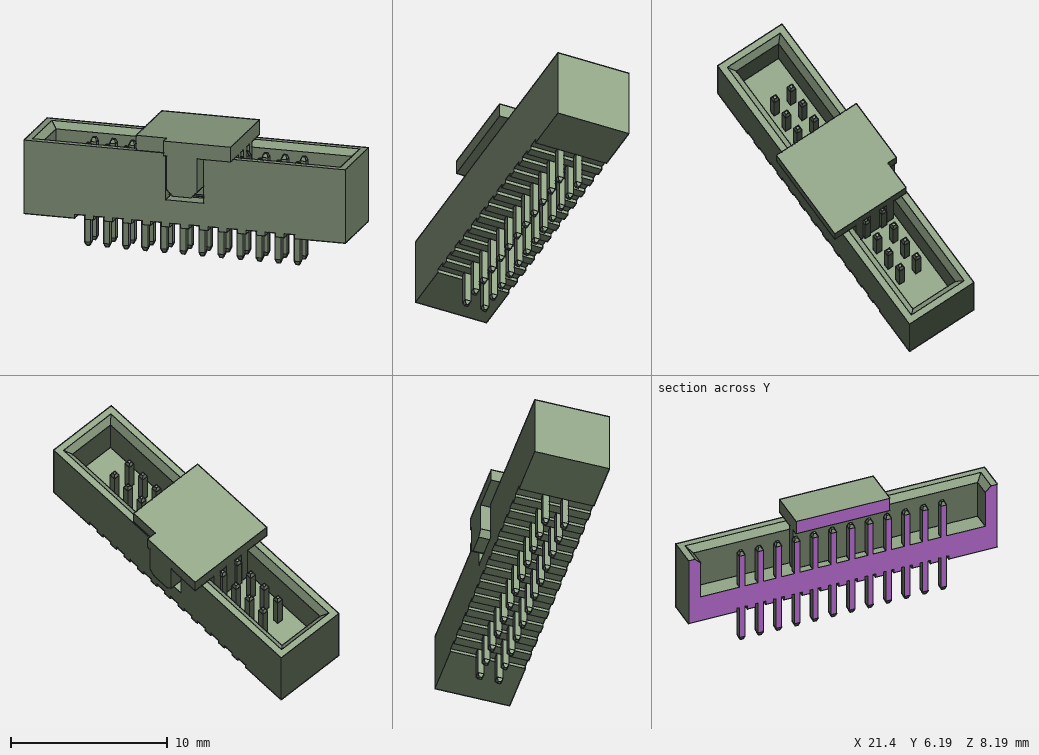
import cadquery as cq


body_length = 21.45
body_width = 5.0
body_height = 4.9
rim = 0.45
mouth_chamfer = 0.4
floor_z = 1.89
notch_width = 2.53
notch_floor_z = 1.8
groove_width = 0.7
groove_depth = 0.25

columns = 12
rows = 2
pin_span = 13.98
pin_pitch = pin_span / (columns - 1)
pin_size = 0.4
pin_tip_size = 0.2
pin_tip_height = 0.25
pin_top_z = 4.52
pin_bottom_z = -2.3

cap_length = 6.52
cap_thickness = 0.99
cap_back_y = 3.1
cap_front_y = -3.09
cap_step_x = -1.22
cap_step_y = -2.42
plug_width = 2.92
plug_chamfer_height = 0.13
plug_chamfer_depth = 0.06
slot_width = 0.55
key_width = 2.02
key_bottom_z = 2.27
key_chamfer = 0.39

column_xs = [pin_pitch * (i - (columns - 1) / 2) for i in range(columns)]
row_ys = [pin_pitch * (i - (rows - 1) / 2) for i in range(rows)]


def block(x_min, x_max, y_min, y_max, z_min, z_max):
    """Box given by its limits along each axis."""
    size = (x_max - x_min, y_max - y_min, z_max - z_min)
    return cq.Workplane("XY").box(*size, centered=False).translate((x_min, y_min, z_min))


def make_housing():
    """Open-topped shroud with a key notch and grooves across its underside."""
    half_length = body_length / 2
    half_width = body_width / 2
    housing = block(-half_length, half_length, -half_width, half_width, 0, body_height)

    wall = rim + mouth_chamfer
    pocket_x = half_length - wall
    pocket_y = half_width - wall
    housing = housing.cut(block(-pocket_x, pocket_x, -pocket_y, pocket_y, floor_z, body_height))
    lead_in = (
        cq.Workplane("XY", origin=(0, 0, body_height - mouth_chamfer))
        .rect(2 * pocket_x, 2 * pocket_y)
        .workplane(offset=mouth_chamfer)
        .rect(body_length - 2 * rim, body_width - 2 * rim)
        .loft(ruled=True)
    )
    housing = housing.cut(lead_in)

    half_notch = notch_width / 2
    notch_end_y = -plug_width / 2
    notch = block(-half_notch, half_notch, -half_width, notch_end_y, notch_floor_z, body_height)
    housing = housing.cut(notch)

    half_groove = groove_width / 2
    for x in column_xs:
        groove = block(x - half_groove, x + half_groove, -half_width, half_width, 0, groove_depth)
        housing = housing.cut(groove)
    return housing


def make_pin():
    """Square pin on the Z axis, tapered at both ends."""
    shank_bottom = pin_bottom_z + pin_tip_height
    shank_top = pin_top_z - pin_tip_height
    half_pin = pin_size / 2
    pin = block(-half_pin, half_pin, -half_pin, half_pin, shank_bottom, shank_top)
    for z, direction in ((shank_top, 1), (shank_bottom, -1)):
        tip = (
            cq.Workplane("XY", origin=(0, 0, z))
            .rect(pin_size, pin_size)
            .workplane(offset=direction * pin_tip_height)
            .rect(pin_tip_size, pin_tip_size)
            .loft(ruled=True)
        )
        pin = pin.union(tip)
    return pin


def make_cap():
    """Stepped plate with a slotted plug inside the pocket and a key in the notch."""
    half_cap = cap_length / 2
    cap_top_z = body_height + cap_thickness
    plate = block(-half_cap, half_cap, cap_front_y, cap_back_y, body_height, cap_top_z)
    step = block(-half_cap, cap_step_x, cap_front_y, cap_step_y, body_height, cap_top_z)
    plate = plate.cut(step)

    half_plug = plug_width / 2
    plug_section = [
        (half_plug - plug_chamfer_depth, floor_z),
        (half_plug, floor_z + plug_chamfer_height),
        (half_plug, body_height),
        (-half_plug, body_height),
        (-half_plug, floor_z + plug_chamfer_height),
        (-half_plug + plug_chamfer_depth, floor_z),
    ]
    plug = cq.Workplane("YZ").polyline(plug_section).close().extrude(half_cap, both=True)
    half_slot = slot_width / 2
    for y in row_ys:
        slot = block(-half_cap, half_cap, y - half_slot, y + half_slot, floor_z, body_height)
        plug = plug.cut(slot)

    half_key = key_width / 2
    key = block(-half_key, half_key, cap_front_y, -half_plug, key_bottom_z, body_height)
    key = key.faces("<Z").edges("|Y").chamfer(key_chamfer)
    return plate.union(plug).union(key)


result = make_housing().union(make_cap())
pin = make_pin()
for pin_x in column_xs:
    for pin_y in row_ys:
        result = result.union(pin.translate((pin_x, pin_y, 0)))